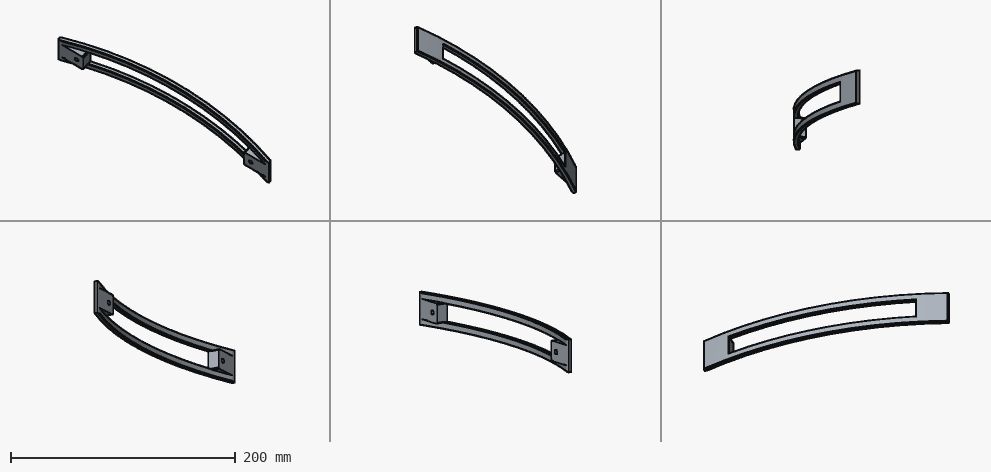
import cadquery as cq
import math

LENGTH = 232.0
RISE = 23.0
WIDTH = 30.0

END_HEIGHT = 3.2
BOW_THICKNESS = 4.5
EDGE_CHAMFER = 0.7

WINDOW_WIDTH = 16.7

PAD_LENGTH = 27.4
PAD_WIDTH = 18.5
PAD_CORNER = 1.2

HOLE_DIAMETER = 4.0
DRILL_TIP_ANGLE = 118
HOLE_DEPTH = 7.0
HOLE_INSET = 20.0

half_length = LENGTH / 2
sagitta = RISE - END_HEIGHT
outer_radius = (half_length**2 + sagitta**2) / (2 * sagitta)
inner_radius = outer_radius - BOW_THICKNESS
arc_center_y = RISE - outer_radius
pad_inner_x = half_length - PAD_LENGTH


def extrude_centered(profile, width):
    """Extrude an XY profile along Z, centered on Z = 0."""
    return profile.extrude(width / 2, both=True)


def side_profile():
    """Outer outline of the part, with a flat base, up to the convex arc."""
    return (
        cq.Workplane("XY")
        .moveTo(-half_length, 0)
        .lineTo(-half_length, END_HEIGHT)
        .threePointArc((0, RISE), (half_length, END_HEIGHT))
        .lineTo(half_length, 0)
        .close()
    )


def make_bow():
    """Curved strip with a window and chamfered edges."""
    inner_cylinder = extrude_centered(
        cq.Workplane("XY").center(0, arc_center_y).circle(inner_radius), WIDTH
    )
    window = cq.Workplane("XY").box(2 * pad_inner_x, 2 * RISE, WINDOW_WIDTH)
    bow = extrude_centered(side_profile(), WIDTH).cut(inner_cylinder)
    bow = bow.cut(window)
    rail_edges = bow.edges("%CIRCLE")
    window_end_edges = bow.faces("|X").edges(">Y")
    bow_end_edges = bow.faces("<X or >X").edges(">Y")
    broken_edges = rail_edges.add(window_end_edges).add(bow_end_edges)
    return broken_edges.chamfer(EDGE_CHAMFER)


def make_pad(side):
    """Wedge-shaped mounting pad; side is -1 or 1."""
    block = (
        cq.Workplane("XY")
        .box(PAD_LENGTH, RISE, PAD_WIDTH)
        .edges("|Y")
        .edges("<X" if side > 0 else ">X")
        .chamfer(PAD_CORNER)
        .translate((side * (half_length - PAD_LENGTH / 2), RISE / 2, 0))
    )
    core = extrude_centered(
        cq.Workplane("XY").center(0, arc_center_y).circle(outer_radius - BOW_THICKNESS / 2), WIDTH
    )
    return block.intersect(core)


def make_hole(side):
    """Cutter for a blind screw hole with a conical bottom, drilled from the flat base."""
    radius = HOLE_DIAMETER / 2
    tip_length = radius / math.tan(math.radians(DRILL_TIP_ANGLE / 2))
    return (
        cq.Workplane("XY")
        .lineTo(radius, 0)
        .lineTo(radius, HOLE_DEPTH)
        .lineTo(0, HOLE_DEPTH + tip_length)
        .close()
        .revolve(360, (0, 0, 0), (0, 1, 0))
        .translate((side * (half_length - HOLE_INSET), 0, 0))
    )


result = make_bow()
for side in (-1, 1):
    result = result.union(make_pad(side)).cut(make_hole(side))